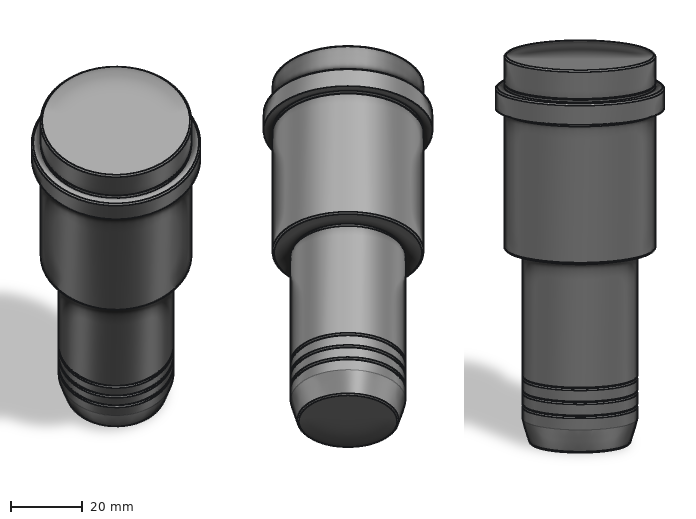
import cadquery as cq

total_height = 110.0
edge_break = 0.5

body_radius = 42.0 / 2
flange_radius = 47.0 / 2
head_height = 9.0
flange_height = 5.9
body_bottom = 55.0
flange_top = total_height - head_height
flange_bottom = flange_top - flange_height

shank_radius = 32.0 / 2
taper_height = 7.0
tip_radius = 14.1
tip_chamfer = 0.4
taper_bulge = 0.1

flange_relief_width = 1.0
shank_relief_width = 1.1
relief_depth = 0.5

ring_groove_count = 3
ring_groove_pitch = 4.0
ring_groove_width = 0.9
ring_groove_depth = 0.5
lowest_groove_bottom = 10.2


def cylinder(radius, bottom, top):
    return cq.Workplane("XY").workplane(offset=bottom).circle(radius).extrude(top - bottom)


def square_groove_cutter(surface_radius, depth, bottom, width):
    """Ring that cuts a square groove into a cylindrical surface."""
    outer = cylinder(surface_radius, bottom, bottom + width)
    return outer.cut(cylinder(surface_radius - depth, bottom, bottom + width))


def v_groove_cutter(surface_radius, depth, bottom, width):
    """Triangular ring that cuts a symmetric V groove into a cylindrical surface."""
    section = (
        cq.Workplane("XZ")
        .moveTo(surface_radius, bottom)
        .lineTo(surface_radius - depth, bottom + width / 2)
        .lineTo(surface_radius, bottom + width)
        .close()
    )
    return section.revolve(360, (0, 0, 0), (0, 1, 0))


def make_shank():
    """Revolved shank with a slightly convex taper and a chamfered tip."""
    taper_middle = ((shank_radius + tip_radius) / 2 + taper_bulge, (taper_height + tip_chamfer) / 2)
    profile = (
        cq.Workplane("XZ")
        .moveTo(0, 0)
        .lineTo(tip_radius - tip_chamfer, 0)
        .lineTo(tip_radius, tip_chamfer)
        .threePointArc(taper_middle, (shank_radius, taper_height))
        .lineTo(shank_radius, body_bottom)
        .lineTo(0, body_bottom)
        .close()
    )
    return profile.revolve(360, (0, 0, 0), (0, 1, 0))


shank = make_shank()
body = cylinder(body_radius, body_bottom, flange_bottom).faces("<Z").chamfer(edge_break)
flange = cylinder(flange_radius, flange_bottom, flange_top).faces(">Z").edges().chamfer(edge_break)
head = cylinder(body_radius, flange_top, total_height).faces(">Z").chamfer(edge_break)
result = shank.union(body).union(flange).union(head)

for groove_bottom in (flange_top, flange_bottom - flange_relief_width):
    result = result.cut(v_groove_cutter(body_radius, relief_depth, groove_bottom, flange_relief_width))

result = result.cut(
    square_groove_cutter(shank_radius, relief_depth, body_bottom - shank_relief_width, shank_relief_width)
)

for index in range(ring_groove_count):
    groove_bottom = lowest_groove_bottom + index * ring_groove_pitch
    result = result.cut(v_groove_cutter(shank_radius, ring_groove_depth, groove_bottom, ring_groove_width))